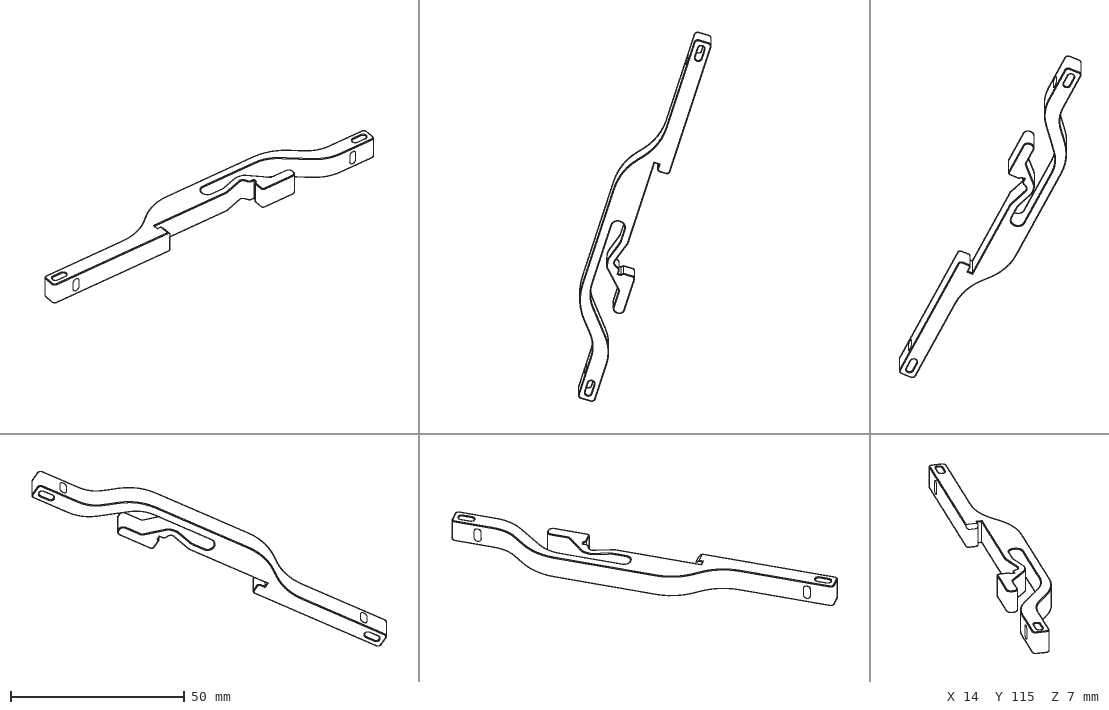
import cadquery as cq
import math

LENGTH = 115.0
WIDTH = 14.0
HEIGHT = 7.0

ARM_WIDTH = 5.1
ARM_LEFT = WIDTH - ARM_WIDTH
SPRING_WIDTH = 2.8
END_Y = LENGTH / 2
END_RADIUS = 1.0
EDGE_CHAMFER = 0.2

BEND_RADIUS = 16.1
TIGHT_BEND_RADIUS = 10.7
INNER_BEND_RADIUS = 12.6
UPPER_BEND_TOP = 40.7
UPPER_BEND_BOTTOM = 29.8
INNER_BEND_BOTTOM = 26.8
LOWER_BEND_TOP = -12.5
LOWER_BEND_BOTTOM = -23.3

SLIT_WIDTH = 3.9
SLIT_RIGHT = SPRING_WIDTH + SLIT_WIDTH
SLIT_BOTTOM = 2.4
SLIT_RADIUS = 1.8

FINGER_OUTER_ROOT = 8.4
FINGER_INNER_ROOT = 8.2
FINGER_ROOT_RADIUS = 2.1
BOW_LEFT = 4.7
BOW_RIGHT = 6.7
BOW_BOTTOM = 14.5
BOW_MIDDLE = 15.2
BOW_TOP_LEFT = 5.2
BOW_TOP = 16.9
BOW_RADIUS = 3.0
BOW_TOP_RADIUS = 1.6
BOW_INNER_RADIUS = 1.2
FINGER_SHOULDER = 16.3
FINGER_SHOULDER_RADIUS = 0.9

HOOK_WIDTH = 3.3
HOOK_LEFT = WIDTH - HOOK_WIDTH
HOOK_TOP = 29.4
HOOK_BASE = 17.2
HOOK_ROOT = 22.7
HOOK_ROOT_RADIUS = 0.5
HOOK_TIP_RADIUS = 1.5
HOOK_CORNER = 0.8
RELIEF_WIDTH = 0.8
RELIEF_DEPTH = 0.6

CATCH_LEFT = 10.4
CATCH_TOP = -15.5
CATCH_CORNER = 0.9
CATCH_SLOPE = 1.2
CATCH_NOTCH_BOTTOM = -17.7

TOP_SLOT_WIDTH = 1.8
SIDE_SLOT_WIDTH = 2.1
TOP_SLOT_LENGTH = 4.6
TOP_SLOT_INSET = 3.8
SIDE_SLOT_LENGTH = 4.4
SIDE_SLOT_INSET = 7.9
SLOT_X = WIDTH - ARM_WIDTH / 2


def rounded_outline(corners):
    """Closed outline through (x, y, radius) corners, each rounded by a tangent arc."""
    segments = []
    for index, (x, y, radius) in enumerate(corners):
        corner = cq.Vector(x, y)
        before = (cq.Vector(*corners[index - 1][:2]) - corner).normalized()
        after = (cq.Vector(*corners[(index + 1) % len(corners)][:2]) - corner).normalized()
        half_angle = before.getAngle(after) / 2
        setback = radius / math.tan(half_angle)
        middle_reach = radius / math.sin(half_angle) - radius
        middle = corner + (before + after).normalized() * middle_reach
        segments.append((corner + before * setback, middle, corner + after * setback, radius))
    outline = cq.Workplane("XY").moveTo(*segments[0][2].toTuple()[:2])
    for start, middle, end, radius in segments[1:] + segments[:1]:
        outline = outline.lineTo(*start.toTuple()[:2])
        if radius > 0:
            outline = outline.threePointArc(middle.toTuple()[:2], end.toTuple()[:2])
    return outline.close()


def make_body():
    corners = [
        (ARM_LEFT, -END_Y, END_RADIUS),
        (ARM_LEFT, LOWER_BEND_BOTTOM, BEND_RADIUS),
        (0, LOWER_BEND_TOP, BEND_RADIUS),
        (0, UPPER_BEND_BOTTOM, BEND_RADIUS),
        (ARM_LEFT, UPPER_BEND_TOP, TIGHT_BEND_RADIUS),
        (ARM_LEFT, END_Y, END_RADIUS),
        (WIDTH, END_Y, END_RADIUS),
        (WIDTH, UPPER_BEND_TOP, INNER_BEND_RADIUS),
        (SPRING_WIDTH, INNER_BEND_BOTTOM, TIGHT_BEND_RADIUS),
        (SPRING_WIDTH, SLIT_BOTTOM, SLIT_RADIUS),
        (SLIT_RIGHT, SLIT_BOTTOM, SLIT_RADIUS),
        (SLIT_RIGHT, FINGER_OUTER_ROOT, FINGER_ROOT_RADIUS),
        (BOW_LEFT, BOW_BOTTOM, BOW_RADIUS),
        (BOW_TOP_LEFT, BOW_TOP, BOW_TOP_RADIUS),
        (HOOK_LEFT, HOOK_ROOT, HOOK_ROOT_RADIUS),
        (HOOK_LEFT, HOOK_TOP, HOOK_TIP_RADIUS),
        (WIDTH, HOOK_TOP, HOOK_TIP_RADIUS),
        (WIDTH, HOOK_BASE, HOOK_CORNER),
        (ARM_LEFT + RELIEF_WIDTH + RELIEF_DEPTH, HOOK_BASE, 0),
        (ARM_LEFT + RELIEF_WIDTH, HOOK_BASE + RELIEF_DEPTH, 0),
        (ARM_LEFT, HOOK_BASE + RELIEF_DEPTH, 0),
        (ARM_LEFT, FINGER_SHOULDER, FINGER_SHOULDER_RADIUS),
        (BOW_RIGHT, BOW_MIDDLE, BOW_INNER_RADIUS),
        (ARM_LEFT, FINGER_INNER_ROOT, FINGER_ROOT_RADIUS),
        (ARM_LEFT, CATCH_NOTCH_BOTTOM, 0),
        (CATCH_LEFT, CATCH_NOTCH_BOTTOM, 0),
        (CATCH_LEFT, CATCH_TOP, CATCH_CORNER),
        (WIDTH, CATCH_TOP, CATCH_CORNER),
        (WIDTH, -END_Y, END_RADIUS),
    ]
    return rounded_outline(corners).extrude(HEIGHT)


def cut_top_slots(body):
    centers = [(SLOT_X, side * (END_Y - TOP_SLOT_INSET)) for side in (-1, 1)]
    slots = (
        cq.Workplane("XY")
        .pushPoints(centers)
        .slot2D(TOP_SLOT_LENGTH, TOP_SLOT_WIDTH, 90)
        .extrude(HEIGHT)
    )
    return body.cut(slots)


def chamfer_rims(body):
    """Break every edge around the top and bottom faces."""
    return body.faces("|Z").edges().chamfer(EDGE_CHAMFER)


def cut_side_slots(body):
    centers = [(side * (END_Y - SIDE_SLOT_INSET), HEIGHT / 2) for side in (-1, 1)]
    slots = (
        cq.Workplane("YZ")
        .pushPoints(centers)
        .slot2D(SIDE_SLOT_LENGTH, SIDE_SLOT_WIDTH, 90)
        .extrude(WIDTH)
    )
    return body.cut(slots)


def slope_catch(body):
    """Slope the upper edge of the catch at 45 degrees as a lead-in."""
    slope_bottom = CATCH_TOP - CATCH_SLOPE
    wedge = (
        cq.Workplane("YZ", origin=(CATCH_LEFT, 0, 0))
        .moveTo(slope_bottom, HEIGHT)
        .lineTo(CATCH_TOP, HEIGHT - CATCH_SLOPE)
        .lineTo(CATCH_TOP, HEIGHT)
        .close()
        .extrude(WIDTH - CATCH_LEFT)
    )
    return body.cut(wedge)


result = slope_catch(cut_side_slots(chamfer_rims(cut_top_slots(make_body()))))